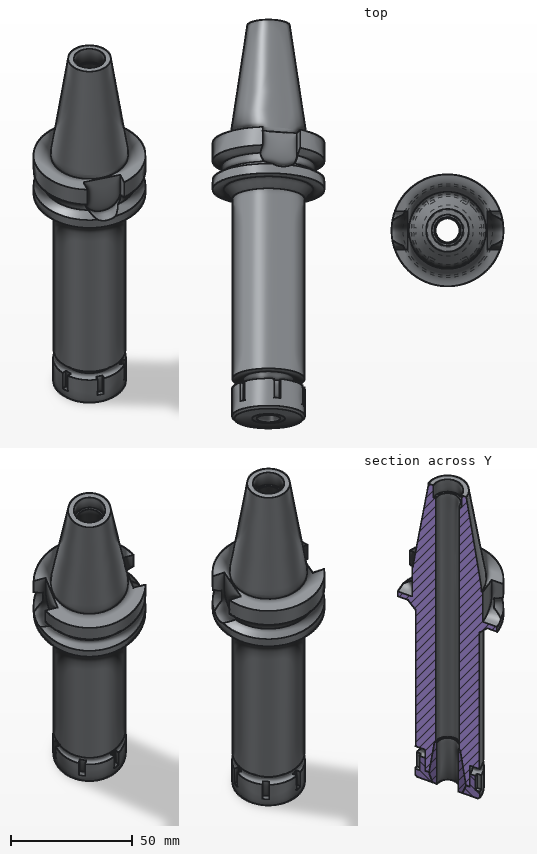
import cadquery as cq
import math

TOTAL_HEIGHT = 168.4

GAUGE_RADIUS = 15.8
GAUGE_Z = 120.0
TAPER_LENGTH = TOTAL_HEIGHT - GAUGE_Z
TAPER_RATIO = 7 / 24
SHANK_END_RADIUS = GAUGE_RADIUS - TAPER_LENGTH * TAPER_RATIO / 2

FLANGE_DIAMETER = 46.0
FLANGE_RADIUS = FLANGE_DIAMETER / 2
FLANGE_TOP_Z = 118.0
FLANGE_BOTTOM_Z = 98.2
GROOVE_RADIUS = 19.2
GROOVE_MIDDLE_Z = 106.3
GROOVE_FLOOR_WIDTH = 3.7
GROOVE_FLANK_ANGLE = 30
GROOVE_FLANK_WIDTH = (FLANGE_RADIUS - GROOVE_RADIUS) * math.tan(math.radians(GROOVE_FLANK_ANGLE))
GROOVE_HALF_FLOOR = GROOVE_FLOOR_WIDTH / 2
GROOVE_HALF_MOUTH = GROOVE_HALF_FLOOR + GROOVE_FLANK_WIDTH

DRIVE_SLOT_WIDTH = 15.8
DRIVE_SLOT_BOTTOM_Z = 101.2
DRIVE_SLOT_FLOOR_X = 16.3

BODY_RADIUS = 14.8
BODY_TOP_Z = 94.1
BODY_BOTTOM_Z = 17.0
SHOULDER_RADIUS = 18.4
NOSE_RADIUS = 10.5

COUNTERBORE_RADIUS = 6.4
COUNTERBORE_DEPTH = 6.9
BORE_RADIUS = 5.4

NUT_RADIUS = 15.0
NUT_HEIGHT = 12.6
NUT_CHAMFER = 1.0
WRENCH_SLOT_COUNT = 6
WRENCH_SLOT_WIDTH = 2.7
WRENCH_SLOT_DEPTH = 2.0
WRENCH_SLOT_BOTTOM_Z = 4.5

COLLET_RADIUS = 8.5
COLLET_FRONT_RADIUS = 6.7
COLLET_WIDEST_Z = 5.0
COLLET_LENGTH = 23.5
COLLET_TAPER_ANGLE = 8
COLLET_TAPER_LENGTH = COLLET_LENGTH - COLLET_WIDEST_Z
COLLET_BACK_RADIUS = COLLET_RADIUS - COLLET_TAPER_LENGTH * math.tan(math.radians(COLLET_TAPER_ANGLE))
COLLET_BORE_RADIUS = 4.9


def revolve_profile(points):
    """Revolve a closed outline of (radius, z) points about the Z axis."""
    return cq.Workplane("XZ").polyline(points).close().revolve(360, (0, 0, 0), (0, 1, 0))


def make_drive_slot(side):
    """Cutter for one round-bottomed slot; side is -1 for -X and +1 for +X."""
    slot_radius = DRIVE_SLOT_WIDTH / 2
    arc_center_z = DRIVE_SLOT_BOTTOM_Z + slot_radius
    depth = FLANGE_RADIUS - DRIVE_SLOT_FLOOR_X
    return (
        cq.Workplane("YZ", origin=(side * DRIVE_SLOT_FLOOR_X, 0, 0))
        .moveTo(-slot_radius, FLANGE_TOP_Z)
        .lineTo(-slot_radius, arc_center_z)
        .threePointArc((0, DRIVE_SLOT_BOTTOM_Z), (slot_radius, arc_center_z))
        .lineTo(slot_radius, FLANGE_TOP_Z)
        .close()
        .extrude(side * depth)
    )


def make_holder():
    """Shank, flange, body and nose in one revolved outline around the stepped bore."""
    counterbore_z = TOTAL_HEIGHT - COUNTERBORE_DEPTH
    holder = revolve_profile([
        (COUNTERBORE_RADIUS, TOTAL_HEIGHT),
        (SHANK_END_RADIUS, TOTAL_HEIGHT),
        (GAUGE_RADIUS, GAUGE_Z),
        (GAUGE_RADIUS, FLANGE_TOP_Z),
        (FLANGE_RADIUS, FLANGE_TOP_Z),
        (FLANGE_RADIUS, GROOVE_MIDDLE_Z + GROOVE_HALF_MOUTH),
        (GROOVE_RADIUS, GROOVE_MIDDLE_Z + GROOVE_HALF_FLOOR),
        (GROOVE_RADIUS, GROOVE_MIDDLE_Z - GROOVE_HALF_FLOOR),
        (FLANGE_RADIUS, GROOVE_MIDDLE_Z - GROOVE_HALF_MOUTH),
        (FLANGE_RADIUS, FLANGE_BOTTOM_Z),
        (SHOULDER_RADIUS, FLANGE_BOTTOM_Z),
        (BODY_RADIUS, BODY_TOP_Z),
        (BODY_RADIUS, BODY_BOTTOM_Z),
        (NOSE_RADIUS, BODY_BOTTOM_Z),
        (NOSE_RADIUS, COLLET_WIDEST_Z),
        (COLLET_RADIUS, COLLET_WIDEST_Z),
        (COLLET_BACK_RADIUS, COLLET_LENGTH),
        (BORE_RADIUS, COLLET_LENGTH),
        (BORE_RADIUS, counterbore_z),
        (COUNTERBORE_RADIUS, counterbore_z),
    ])
    for side in (-1, 1):
        holder = holder.cut(make_drive_slot(side))
    return holder


def make_wrench_slot(angle):
    """Cutter for one wrench slot, open at the nut's top and outer side."""
    floor_radius = NUT_RADIUS - WRENCH_SLOT_DEPTH
    height = NUT_HEIGHT - WRENCH_SLOT_BOTTOM_Z
    return (
        cq.Workplane("XY")
        .box(NUT_RADIUS, WRENCH_SLOT_WIDTH, height, centered=(False, True, False))
        .translate((floor_radius, 0, WRENCH_SLOT_BOTTOM_Z))
        .rotate((0, 0, 0), (0, 0, 1), angle)
    )


def make_nut():
    """Clamping nut around the nose, with a conical seat for the collet front."""
    nut = revolve_profile([
        (COLLET_FRONT_RADIUS, 0),
        (NUT_RADIUS - NUT_CHAMFER, 0),
        (NUT_RADIUS, NUT_CHAMFER),
        (NUT_RADIUS, NUT_HEIGHT),
        (NOSE_RADIUS, NUT_HEIGHT),
        (NOSE_RADIUS, COLLET_WIDEST_Z),
        (COLLET_RADIUS, COLLET_WIDEST_Z),
    ])
    for index in range(WRENCH_SLOT_COUNT):
        nut = nut.cut(make_wrench_slot(index * 360 / WRENCH_SLOT_COUNT))
    return nut


def make_collet():
    """Double-tapered sleeve that fills the socket of the holder and the seat of the nut."""
    return revolve_profile([
        (COLLET_BORE_RADIUS, 0),
        (COLLET_FRONT_RADIUS, 0),
        (COLLET_RADIUS, COLLET_WIDEST_Z),
        (COLLET_BACK_RADIUS, COLLET_LENGTH),
        (COLLET_BORE_RADIUS, COLLET_LENGTH),
    ])


holder = make_holder()
nut = make_nut()
collet = make_collet()

result = cq.Compound.makeCompound([holder.val(), nut.val(), collet.val()])